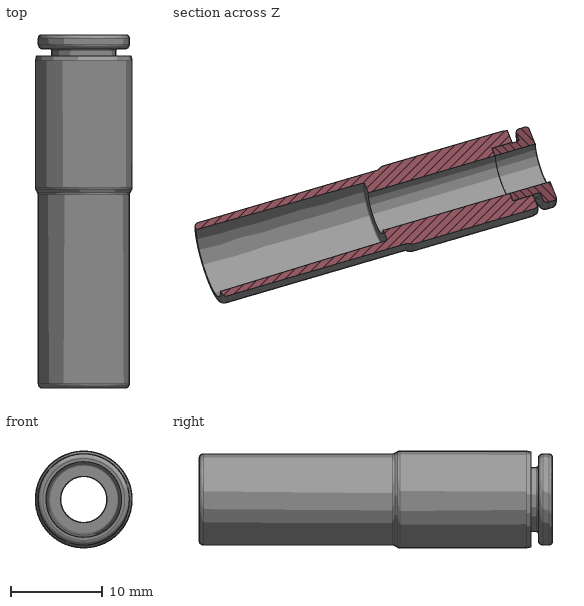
import cadquery as cq
import math


total_length = 38.82
sleeve_radius = 5.3
stem_radius = 5.0
stem_tip_round = 0.5
bore_radius = 2.52

pocket_mouth_radius = 4.15
pocket_floor_radius = 3.9
pocket_depth = 19.4
pocket_floor_round = 0.1

shoulder_start = 21.4
shoulder_angle = 30.0
shoulder_blend = 0.45
shoulder_end = shoulder_start + (sleeve_radius - stem_radius) / math.tan(math.radians(shoulder_angle))

sleeve_end = 36.5
sleeve_chamfer_length = 0.5
sleeve_chamfer_drop = 0.1

head_radius = stem_radius
head_length = 1.55
head_outer_round = 0.4
head_inner_round = 0.5
neck_radius = 3.55
neck_round = 0.2
neck_insertion = 2.33
head_start = total_length - head_length
neck_start = sleeve_end - neck_insertion


def turn(profile):
    """Revolve a closed (radius, y) profile about the Y axis."""
    return profile.close().revolve(360, (0, 0, 0), (0, 1, 0))


def round_circle(body, radius, y, fillet_radius):
    """Fillet the circular edge of the given radius that lies at height y on the axis."""
    tolerance = 0.005

    def is_wanted(edge):
        if edge.geomType() != "CIRCLE":
            return False
        return abs(edge.radius() - radius) < tolerance and abs(edge.Center().y - y) < tolerance

    return body.newObject([edge for edge in body.edges().vals() if is_wanted(edge)]).fillet(fillet_radius)


def make_housing():
    """Sleeve and hollow stem in one piece, with a seat for the collar neck."""
    body = turn(
        cq.Workplane("XY")
        .moveTo(pocket_mouth_radius, 0)
        .lineTo(stem_radius, 0)
        .lineTo(stem_radius, shoulder_start)
        .lineTo(sleeve_radius, shoulder_end)
        .lineTo(sleeve_radius, sleeve_end - sleeve_chamfer_length)
        .lineTo(sleeve_radius - sleeve_chamfer_drop, sleeve_end)
        .lineTo(neck_radius, sleeve_end)
        .lineTo(neck_radius, neck_start)
        .lineTo(bore_radius, neck_start)
        .lineTo(bore_radius, pocket_depth)
        .lineTo(pocket_floor_radius, pocket_depth)
    )
    body = round_circle(body, stem_radius, 0, stem_tip_round)
    body = round_circle(body, stem_radius, shoulder_start, shoulder_blend)
    body = round_circle(body, sleeve_radius, shoulder_end, shoulder_blend)
    return round_circle(body, pocket_floor_radius, pocket_depth, pocket_floor_round)


def make_collar():
    """Push ring with a rounded head and a neck that seats in the sleeve."""
    ring = turn(
        cq.Workplane("XY")
        .moveTo(bore_radius, neck_start)
        .lineTo(neck_radius, neck_start)
        .lineTo(neck_radius, head_start)
        .lineTo(head_radius, head_start)
        .lineTo(head_radius, total_length)
        .lineTo(bore_radius, total_length)
    )
    ring = round_circle(ring, head_radius, total_length, head_outer_round)
    ring = round_circle(ring, head_radius, head_start, head_inner_round)
    return round_circle(ring, neck_radius, head_start, neck_round)


housing = make_housing()
collar = make_collar()

result = cq.Compound.makeCompound([housing.val(), collar.val()])